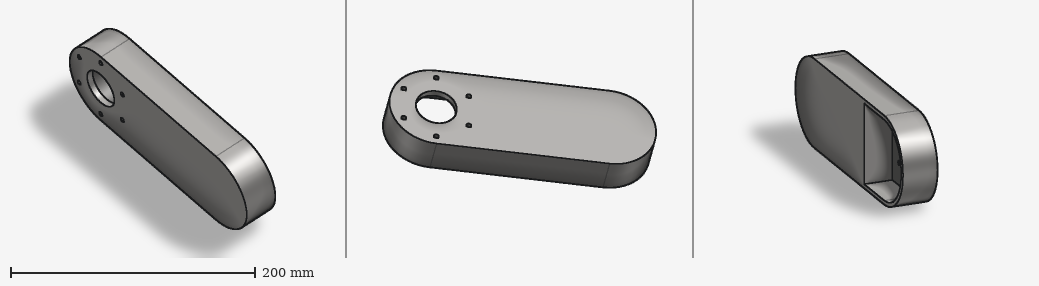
import cadquery as cq

length = 222.0
height = 78.0
depth = 31.0
side_wall = 3.7
front_wall = 6.0
pocket_end_x = 41.0
bore_diameter = 34.0
bolt_circle_diameter = 62.5
bolt_hole_diameter = 4.0
bolt_count = 6
first_bolt_angle = 30.0

center_distance = length - height
pocket_radius = height / 2 - side_wall


def make_body():
    """Solid bar with round ends."""
    return (
        cq.Workplane("XZ")
        .center(center_distance / 2, 0)
        .slot2D(length, height)
        .extrude(-depth)
    )


def make_pocket():
    """Pocket open at the back: round at the left end, flat at pocket_end_x."""
    return (
        cq.Workplane("XZ", origin=(0, front_wall, 0))
        .moveTo(0, pocket_radius)
        .threePointArc((-pocket_radius, 0), (0, -pocket_radius))
        .lineTo(pocket_end_x, -pocket_radius)
        .lineTo(pocket_end_x, pocket_radius)
        .close()
        .extrude(front_wall - depth)
    )


def make_bore():
    """Large opening through the front wall, concentric with the left end."""
    return cq.Workplane("XZ").circle(bore_diameter / 2).extrude(-front_wall)


def make_bolt_holes():
    """Ring of bolt holes through the front wall around the bore."""
    return (
        cq.Workplane("XZ")
        .polarArray(bolt_circle_diameter / 2, first_bolt_angle, 360, bolt_count)
        .circle(bolt_hole_diameter / 2)
        .extrude(-front_wall)
    )


result = make_body().cut(make_pocket()).cut(make_bore()).cut(make_bolt_holes())